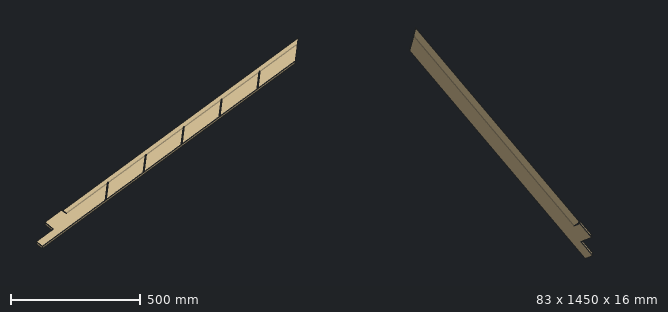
import cadquery as cq

length = 1450.0
width = 83.0
thickness = 16.0
tip_drop = 95.0

bevel_width = 26.0
bevel_start = 183.0

notch_width = 48.0
notch_length = 91.0

score_count = 5
score_pitch = 203.0
score_width = 5.0
score_depth = 0.9

tip_slope = tip_drop / width
spine_end = length - tip_drop
half_thickness = thickness / 2


def make_blank():
    """Flat strip with the slanted tip and the notched tang."""
    outline = [
        (notch_width, 0),
        (width, 0),
        (width, spine_end),
        (0, length),
        (0, notch_length),
        (notch_width, notch_length),
    ]
    return cq.Workplane("XY").polyline(outline).close().extrude(thickness)


def make_bevel_cutter(face_z):
    """Triangular wedge between one flat face and the sharp edge."""
    section = [(0, face_z), (bevel_width, face_z), (0, half_thickness)]
    return (
        cq.Workplane("XZ", origin=(0, bevel_start, 0))
        .polyline(section)
        .close()
        .extrude(bevel_start - length)
    )


def make_score_cutter(spine_y):
    """V-groove in the top face, reaching the spine at spine_y."""
    direction = cq.Vector(-1, tip_slope, 0).normalized()
    run = width / abs(direction.x)
    overrun = 2 * score_width
    start = cq.Vector(width, spine_y, thickness) - direction * overrun
    across = cq.Vector(0, 0, 1).cross(direction)
    plane = cq.Plane(origin=start, xDir=across, normal=direction)
    section = [
        (-score_width / 2, 0),
        (score_width / 2, 0),
        (0, -score_depth),
    ]
    return cq.Workplane(plane).polyline(section).close().extrude(run + overrun)


result = make_blank()
for face_z in (0, thickness):
    result = result.cut(make_bevel_cutter(face_z))
for index in range(1, score_count + 1):
    result = result.cut(make_score_cutter(spine_end - index * score_pitch))